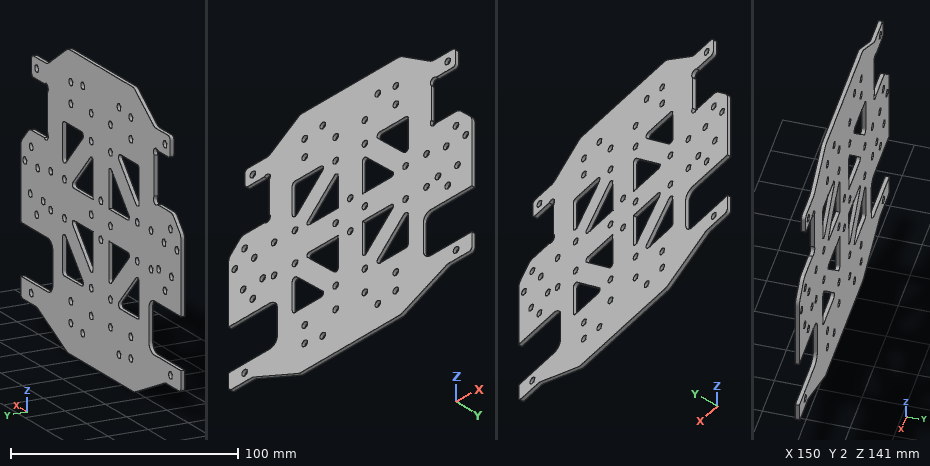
import cadquery as cq
import math


WIDTH = 150.0
HEIGHT = 141.0
THICKNESS = 2.0
HALF_WIDTH = WIDTH / 2
HALF_HEIGHT = HEIGHT / 2

NOTCH_INNER_Z = 22.8
NOTCH_OUTER_Z = 47.7
UPPER_NOTCH_X = 50.0
LOWER_NOTCH_X = 45.0
TAB_OUTER_Z = 57.8
UPPER_TAB_X = 65.0
TOP_EDGE_X = 30.9
TOP_SLOPE_X = 50.2
BOTTOM_EDGE_X = 31.2
BOTTOM_SLOPE_X = 60.0
SHOULDER_CHAMFER = 8.1

BEND_RADIUS = 5.0
LOWER_NOTCH_RADIUS = 4.8
TAB_CORNER_RADIUS = 2.0
RELIEF_RADIUS = 2.1

OUTER_WINDOW_EDGE = 35.7
OUTER_WINDOW_DIAGONAL = 50.0
OUTER_WINDOW_RADIUS = 1.6
INNER_WINDOW_EDGE = 7.5
INNER_WINDOW_DIAGONAL = 36.0
INNER_WINDOW_RADIUS = 1.4

HOLE_DIAMETER = 3.3
NEAR_AXIS = 9.0
GRID_NEAR = 34.0
GRID_FAR = 47.0
TAB_HOLE_Z = (NOTCH_OUTER_Z + TAB_OUTER_Z) / 2
WIDE_HOLE_X = 65.1
NARROW_HOLE_X = 60.0
SIDE_HOLE_Z = 15.0
SIDE_PAIR_Z = 6.9
SIDE_PAIR_PITCH = 12.0
UPPER_PAIR_X = 71.1
LOWER_PAIR_X = 66.0
COLUMN_X = 28.0
COLUMN_Z = (45.8, 55.8)
END_HOLE = (17.0, 57.3)


def prism(points):
    """Extrude a closed XZ outline through the plate thickness, centred on Y = 0."""
    return cq.Workplane("XZ").polyline(points).close().extrude(THICKNESS / 2, both=True)


def round_corners(body, points, radius):
    """Fillet the edges that run through the thickness at the given XZ points."""
    for x, z in points:
        edge = cq.selectors.NearestToPointSelector((x, 0, z))
        body = body.edges("|Y").edges(edge).fillet(radius)
    return body


def cylinders(points, radius):
    """Cylinders along Y, long enough to cut through the plate."""
    return cq.Workplane("XZ").pushPoints(points).circle(radius).extrude(THICKNESS, both=True)


def mirrored(points):
    """Add the mirror images about X = 0 to a list of XZ points."""
    return points + [(-x, z) for x, z in points]


def half_plate():
    """The +X half of the plate, with its rounded corners and notch reliefs."""
    upper_tab = [(UPPER_TAB_X, TAB_OUTER_Z), (UPPER_TAB_X, NOTCH_OUTER_Z)]
    lower_tab = (HALF_WIDTH, -TAB_OUTER_Z)
    upper_notch = [(UPPER_NOTCH_X, NOTCH_OUTER_Z), (UPPER_NOTCH_X, NOTCH_INNER_Z)]
    lower_notch = [(LOWER_NOTCH_X, -NOTCH_INNER_Z), (LOWER_NOTCH_X, -NOTCH_OUTER_Z)]
    top_bends = [(TOP_EDGE_X, HALF_HEIGHT), (TOP_SLOPE_X, TAB_OUTER_Z)]
    shoulder = [
        (HALF_WIDTH - SHOULDER_CHAMFER, NOTCH_INNER_Z),
        (HALF_WIDTH, NOTCH_INNER_Z - SHOULDER_CHAMFER),
    ]
    bottom_bends = [(BOTTOM_SLOPE_X, -TAB_OUTER_Z), (BOTTOM_EDGE_X, -HALF_HEIGHT)]
    outline = [
        (0, HALF_HEIGHT),
        *top_bends,
        *upper_tab,
        *upper_notch,
        *shoulder,
        (HALF_WIDTH, -NOTCH_INNER_Z),
        *lower_notch,
        (HALF_WIDTH, -NOTCH_OUTER_Z),
        lower_tab,
        *bottom_bends,
        (0, -HALF_HEIGHT),
    ]
    half = prism(outline)
    half = round_corners(half, top_bends + shoulder + bottom_bends, BEND_RADIUS)
    half = round_corners(half, lower_notch, LOWER_NOTCH_RADIUS)
    half = round_corners(half, upper_tab + [lower_tab], TAB_CORNER_RADIUS)

    relief_offset = RELIEF_RADIUS / math.sqrt(2)
    relief_x = UPPER_NOTCH_X + relief_offset
    relief_centers = [
        (relief_x, NOTCH_OUTER_Z - relief_offset),
        (relief_x, NOTCH_INNER_Z + relief_offset),
    ]
    return half.cut(cylinders(relief_centers, RELIEF_RADIUS))


def window(edge, diagonal, sign_x, sign_z):
    """Right-angled triangle in one quadrant: its square corner, then its two tips."""
    tip = diagonal - edge
    return [
        (sign_x * edge, sign_z * edge),
        (sign_x * edge, sign_z * tip),
        (sign_x * tip, sign_z * edge),
    ]


def cut_windows(plate):
    """One outer and one inner triangular window in each quadrant."""
    for sign_x in (1, -1):
        for sign_z in (1, -1):
            outer = window(OUTER_WINDOW_EDGE, OUTER_WINDOW_DIAGONAL, sign_x, sign_z)
            plate = plate.cut(round_corners(prism(outer), outer, OUTER_WINDOW_RADIUS))

            inner = window(INNER_WINDOW_EDGE, INNER_WINDOW_DIAGONAL, sign_x, sign_z)
            plate = plate.cut(round_corners(prism(inner), inner[1:], INNER_WINDOW_RADIUS))
    return plate


def hole_centers():
    """Centres of all the holes in the plate."""
    quadrant = [END_HOLE] + [(COLUMN_X, z) for z in COLUMN_Z]
    for far in (GRID_NEAR, GRID_FAR):
        quadrant += [(NEAR_AXIS, far), (far, NEAR_AXIS)]
    centers = mirrored(quadrant + [(x, -z) for x, z in quadrant])

    sides = [
        (NARROW_HOLE_X, TAB_HOLE_Z),
        (WIDE_HOLE_X, SIDE_HOLE_Z),
        (NARROW_HOLE_X, -SIDE_HOLE_Z),
        (WIDE_HOLE_X, -TAB_HOLE_Z),
    ]
    for outer_x, z in ((UPPER_PAIR_X, SIDE_PAIR_Z), (LOWER_PAIR_X, -SIDE_PAIR_Z)):
        sides += [(outer_x, z), (outer_x - SIDE_PAIR_PITCH, z)]
    centers += mirrored(sides)

    centers += [(NEAR_AXIS, 0), (-NEAR_AXIS, 0), (0, NEAR_AXIS), (0, -NEAR_AXIS)]
    return centers


right_half = half_plate()
plate = right_half.union(right_half.mirror("YZ")).clean()
plate = cut_windows(plate)
result = plate.cut(cylinders(hole_centers(), HOLE_DIAMETER / 2))